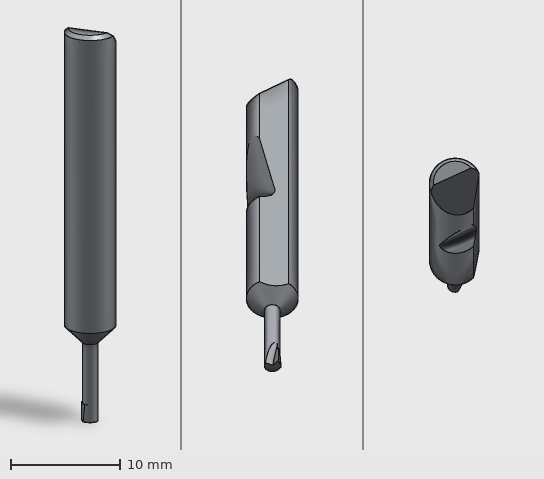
import cadquery as cq
import math

length = 38.1
shank_radius = 2.38
neck_radius = 0.72
cone_bottom = 7.65
cone_top = cone_bottom + shank_radius - neck_radius
top_chamfer = 0.4
neck_bottom = 0.08

flat_distance = 1.962
flat_angle = 36
bevel_edge_y = -0.6
notch_top = 29.87
notch_length = 8.72
notch_angle = 9.5
notch_radius = 1.0

tip_reach = 0.88
head_height = 1.8
front_x_top = -0.25
front_x_bottom = -0.42
front_flat_x = 0
gullet_depth_top = 0.72
gullet_depth_bottom = 0.05
gullet_top = 2.5
gullet_angle = 15

margin = 3.8


def body():
    """Turned shank, cone and neck."""
    profile = [
        (0, neck_bottom),
        (neck_radius, neck_bottom),
        (neck_radius, cone_bottom),
        (shank_radius, cone_top),
        (shank_radius, length - top_chamfer),
        (shank_radius - top_chamfer, length),
        (0, length),
    ]
    return cq.Workplane("XZ").polyline(profile).close().revolve(360, (0, 0), (0, 1))


def shank_flat():
    """Block beyond the flat that runs along the shank and into the cone."""
    block = cq.Workplane("XY").box(margin, 2 * margin, length, centered=(True, True, False))
    block = block.translate((-flat_distance - margin / 2, 0, 0))
    return block.rotate((0, 0, 0), (0, 0, 1), -flat_angle)


def end_bevel():
    """45 degree wedge behind the top end."""
    reach = 2 * margin
    profile = [(bevel_edge_y, length), (bevel_edge_y + reach, length), (bevel_edge_y + reach, length - reach)]
    return cq.Workplane("YZ").polyline(profile).close().extrude(margin, both=True)


def clamping_notch():
    """Sloping notch across the +Y side, with a rounded square corner at its deep end."""
    block = cq.Workplane("XY").box(2 * margin, margin, notch_length, centered=(True, False, False))
    block = block.translate((0, 0, -notch_length)).edges("<Y and <Z").fillet(notch_radius)
    block = block.rotate((0, 0, 0), (1, 0, 0), -notch_angle)
    return block.translate((0, shank_radius, notch_top))


def head_space():
    """Corner on the -X -Y side of the neck end, cleared to make room for the cutting head."""
    block = cq.Workplane("XY").box(margin, margin, head_height, centered=False)
    return block.translate((front_flat_x - margin, -margin, 0))


def head_outline(front_x):
    """Section of the head: tip, slanting front face, front flat and inner corner."""
    return [(-tip_reach, 0), (front_x, -neck_radius), (front_flat_x, -neck_radius), (front_flat_x, 0)]


def cutting_head():
    """Head with its tip on -X and a lower end that rises away from the tip."""
    head = cq.Workplane("XY").polyline(head_outline(front_x_bottom)).close()
    head = head.workplane(offset=head_height).polyline(head_outline(front_x_top)).close().loft(ruled=True)
    end_relief = [
        (-tip_reach, 0),
        (front_flat_x, 0),
        (front_flat_x, neck_bottom),
        (-tip_reach + neck_bottom, neck_bottom),
    ]
    return head.cut(cq.Workplane("XZ").polyline(end_relief).close().extrude(margin, both=True))


def chip_gullet():
    """Space with a sloping floor, bounded by the cutting face Y = 0."""
    profile = [
        (-gullet_depth_bottom, 0),
        (-gullet_depth_top, gullet_top),
        (-margin, gullet_top),
        (-margin, 0),
    ]
    space = cq.Workplane("XZ").polyline(profile).close().extrude(margin, both=True)
    space = space.rotate((0, 0, 0), (0, 0, 1), -gullet_angle)
    behind_face = cq.Workplane("XY").box(4 * margin, 2 * margin, gullet_top, centered=(True, False, False))
    return space.intersect(behind_face)


result = body().cut(shank_flat()).cut(end_bevel()).cut(clamping_notch())
result = result.cut(head_space()).union(cutting_head()).cut(chip_gullet())